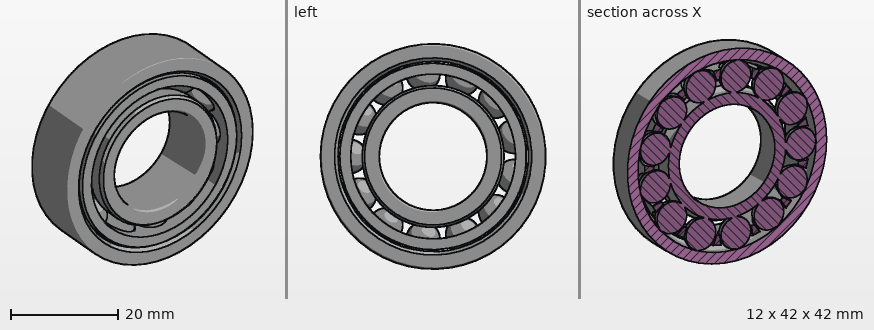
import cadquery as cq
import math

bearing_width = 12.01
half_width = bearing_width / 2
bore_radius = 10.0
outer_radius = 21.0
front_corner_radius = 0.6
outer_back_corner_radius = 0.2
bore_back_corner_radius = 0.6

ball_count = 13
ball_radius = 3.175
pitch_radius = (bore_radius + outer_radius) / 2
ball_spacing = 360 / ball_count

groove_radius = 3.3
ball_sink = 0.05
outer_groove_centre = pitch_radius + ball_radius - groove_radius
inner_groove_centre = pitch_radius - ball_radius + ball_sink + groove_radius

inner_land_radius = 13.22
inner_face_radius = 12.76
outer_land_radius = 17.72
outer_face_radius = 18.36
taper_length = 0.7

cage_inner_radius = 15.33
cage_outer_radius = 17.36
cage_face_recess = 0.15
cage_width = bearing_width - 2 * cage_face_recess
pocket_clearance = 0.15
pocket_radius = ball_radius + pocket_clearance


def revolve_about_x(profile):
    """Revolve a closed profile (axial position, radius) about the X axis."""
    return profile.close().revolve(360, (0, 0, 0), (1, 0, 0))


def raceway(groove_centre_radius):
    """Torus that cuts a ball groove into a ring."""
    circle = cq.Workplane("XY").center(0, groove_centre_radius).circle(groove_radius)
    return circle.revolve(360, (0, -groove_centre_radius, 0), (1, -groove_centre_radius, 0))


def rounded_ring_profile(rim_radius, inward, back_corner_radius):
    """Start a ring profile along its rounded rim; inward is the radial direction into the metal."""
    front_drop = inward * front_corner_radius
    back_drop = inward * back_corner_radius
    mid_arc_inset = 1 - math.sqrt(0.5)
    return (
        cq.Workplane("XY")
        .moveTo(-half_width, rim_radius + front_drop)
        .threePointArc(
            (-half_width + mid_arc_inset * front_corner_radius, rim_radius + mid_arc_inset * front_drop),
            (-half_width + front_corner_radius, rim_radius),
        )
        .lineTo(half_width - back_corner_radius, rim_radius)
        .threePointArc(
            (half_width - mid_arc_inset * back_corner_radius, rim_radius + mid_arc_inset * back_drop),
            (half_width, rim_radius + back_drop),
        )
    )


def make_ring(rim_radius, inward, back_corner_radius, land_radius, face_radius, groove_centre_radius):
    """Bearing ring: rounded rim, tapered mouths on both faces and a ball groove."""
    profile = (
        rounded_ring_profile(rim_radius, inward, back_corner_radius)
        .lineTo(half_width, face_radius)
        .lineTo(half_width - taper_length, land_radius)
        .lineTo(-half_width + taper_length, land_radius)
        .lineTo(-half_width, face_radius)
    )
    return revolve_about_x(profile).cut(raceway(groove_centre_radius))


def add_balls(ring):
    """Join the balls to a ring, the first one on the +Y side."""
    ball = cq.Workplane("XY").sphere(ball_radius).translate((0, pitch_radius, 0))
    for index in range(ball_count):
        ring = ring.union(ball.rotate((0, 0, 0), (1, 0, 0), index * ball_spacing))
    return ring


def make_cage():
    """Plain sleeve with one round pocket per ball."""
    cage = (
        cq.Workplane("YZ", origin=(-cage_width / 2, 0, 0))
        .circle(cage_outer_radius)
        .circle(cage_inner_radius)
        .extrude(cage_width)
    )
    pocket = cq.Workplane("XZ").circle(pocket_radius).extrude(-outer_radius)
    for index in range(ball_count):
        cage = cage.cut(pocket.rotate((0, 0, 0), (1, 0, 0), index * ball_spacing))
    return cage


outer_ring = make_ring(
    rim_radius=outer_radius,
    inward=-1,
    back_corner_radius=outer_back_corner_radius,
    land_radius=outer_land_radius,
    face_radius=outer_face_radius,
    groove_centre_radius=outer_groove_centre,
)
inner_ring = make_ring(
    rim_radius=bore_radius,
    inward=1,
    back_corner_radius=bore_back_corner_radius,
    land_radius=inner_land_radius,
    face_radius=inner_face_radius,
    groove_centre_radius=inner_groove_centre,
)
inner_ring_with_balls = add_balls(inner_ring)
cage = make_cage()

result = cq.Compound.makeCompound(
    [outer_ring.solids().val(), inner_ring_with_balls.solids().val(), cage.solids().val()]
)